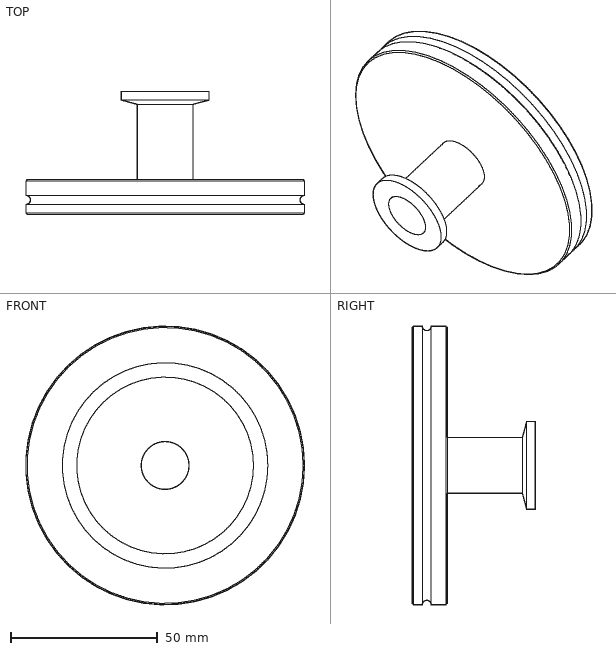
import cadquery as cq
import math

total_length = 42.0

plate_diameter = 95.0
plate_thickness = 12.0
plate_chamfer = 0.5

rim_groove_radius = 1.5
rim_groove_distance = 5.0

channel_outer_diameter = 70.0
channel_inner_diameter = 60.2
channel_depth = 4.5

bore_diameter = 16.2
tube_diameter = 19.1
flange_diameter = 30.0
flange_rim_thickness = 3.0
flange_taper_angle = 15.0


def cylinder(diameter, start, length):
    """Solid cylinder on the Y axis, running toward +Y from Y = start."""
    return cq.Workplane("XZ", origin=(0, start, 0)).circle(diameter / 2).extrude(-length)


def revolve_about_y(profile):
    """Full turn of a profile in the XY plane about the Y axis."""
    return profile.revolve(360, (0, 0, 0), (0, 1, 0))


def make_plate():
    return cylinder(plate_diameter, 0, plate_thickness).edges().chamfer(plate_chamfer)


def make_rim_groove():
    """Ring of circular section, centred on the plate's rim."""
    profile = (
        cq.Workplane("XY")
        .moveTo(plate_diameter / 2, rim_groove_distance)
        .circle(rim_groove_radius)
    )
    return revolve_about_y(profile)


def make_channel():
    outer = cylinder(channel_outer_diameter, 0, channel_depth)
    return outer.cut(cylinder(channel_inner_diameter, 0, channel_depth))


def make_stub():
    """Solid tube, rooted inside the plate, with a flange that tapers down to the tube."""
    tube_radius = tube_diameter / 2
    root = plate_thickness / 2
    flange_radius = flange_diameter / 2
    taper_length = (flange_radius - tube_radius) * math.tan(math.radians(flange_taper_angle))
    rim_start = total_length - flange_rim_thickness
    profile = (
        cq.Workplane("XY")
        .moveTo(0, root)
        .lineTo(tube_radius, root)
        .lineTo(tube_radius, rim_start - taper_length)
        .lineTo(flange_radius, rim_start)
        .lineTo(flange_radius, total_length)
        .lineTo(0, total_length)
        .close()
    )
    return revolve_about_y(profile)


plate = make_plate().cut(make_rim_groove()).cut(make_channel())
bore = cylinder(bore_diameter, 0, total_length)
result = plate.union(make_stub()).cut(bore)